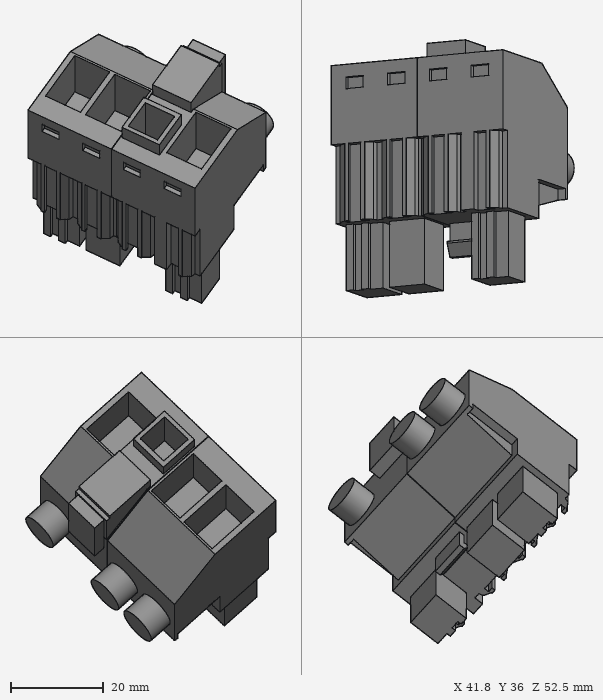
import cadquery as cq


poles_width = 40.65
pole_count = 4
pitch = poles_width / pole_count
pole_x = [(i - (pole_count - 1) / 2) * pitch for i in range(pole_count)]
latch_pole_x = pole_x[2]

width = 41.75
half_width = width / 2
housing_gap = 0.1
height = 34.35
back_y = 30.35
slope_start_y = 18.2
slope_end_z = 26.45
base_back_y = 16.8
belly_front_z = 2.6
belly_back_z = 6.45
belly_inset = 1.85
belly_inset_top_z = 8.6
back_plate_thickness = 1.0

well_front_y = 5.2
well_length = 12.55
well_depth = 13.1
well_ranges_left = [(-19.5, -10.75), (-9.5, -0.65)]
well_ranges_right = [(10.75, 19.5)]

window_width = 4.2
window_height = 2.55
window_bottom_z = 29.0
window_depth = 1.05

rail_height = 16.95
rail_depth = 2.15
rail_face_half = 2.4
rail_face_step = 0.2
rail_shoulder_half = 4.05
rail_shoulder_depth = 1.1
rail_root_half = 4.35
slot_half = 1.45
slot_lip = 0.85
slot_depth = 1.95
slot_undercut_half = 2.6
key_half = 4.5

leg_width = 8.45
leg_front_y = 4.3
leg_length_y = 9.75
last_leg_length_y = 8.6
leg_height = 14.45
leg_corner_width = 1.75
leg_groove_width = 1.95
leg_rib_width = 1.75
leg_relief_depth = 0.95
plain_leg_setback = 0.75

latch_width = 8.1
tongue_back_y = 14.65
tongue_thickness = 1.3
tongue_length = 7.4
barb_top_z = -4.1
barb_edge_height = 0.4
barb_reach = 1.3

tube_size = 9.35
tube_front_y = 3.85
tube_top_z = 38.05
tube_hole_size = 7.3
tube_hole_front_y = 4.8
tube_hole_depth = 13.1

latch_block_width = 9.6
latch_front_y = 17.15
latch_top_z = 37.85
latch_step_z = 36.7
latch_step_length = 1.0
tab_back_y = 33.2
tab_top_z = 36.1
tab_bottom_z = 20.7

plug_diameter = 8.55
plug_end_y = 36.0
plug_length = plug_end_y - back_y
plug_z = 14.3


def box(x_range, y_range, z_range):
    """Box between the given limits along each axis."""
    (x0, x1), (y0, y1), (z0, z1) = x_range, y_range, z_range
    return cq.Workplane("XY").box(x1 - x0, y1 - y0, z1 - z0, centered=False).translate((x0, y0, z0))


def side_profile(points, x_range):
    """Extrude an outline of (y, z) points along X."""
    x0, x1 = x_range
    return cq.Workplane("YZ").polyline(points).close().extrude(x1 - x0).translate((x0, 0, 0))


def centred(x, size):
    """Limits of a span of the given size centred on x."""
    return (x - size / 2, x + size / 2)


def rail(x):
    """Coding rail of one pole, with sloped flanks and a T-shaped slot."""
    right_side = [
        (slot_half, 0),
        (rail_face_half, 0),
        (rail_face_half, rail_face_step),
        (rail_shoulder_half, rail_shoulder_depth),
        (rail_root_half, rail_depth),
    ]
    left_side = [(-px, py) for px, py in reversed(right_side)]
    body = cq.Workplane("XY").polyline(right_side + left_side).close().extrude(rail_height)
    return body.translate((x, 0, 0))


def slot(x):
    """T-shaped slot of one rail."""
    neck = box(centred(x, 2 * slot_half), (0, slot_depth), (0, rail_height))
    undercut = box(centred(x, 2 * slot_undercut_half), (slot_lip, slot_depth), (0, rail_height))
    return neck.union(undercut)


def window(x):
    """Blind window in the front wall."""
    z_range = (window_bottom_z, window_bottom_z + window_height)
    return box(centred(x, window_width), (0, window_depth), z_range)


def plain_leg(x):
    """Plug leg with a flat front, set back from the ribbed legs."""
    y_range = (leg_front_y + plain_leg_setback, leg_front_y + leg_length_y)
    return box(centred(x, leg_width), y_range, (-leg_height, 0))


def ribbed_leg(x, length_y):
    """Plug leg with a corner strip and a rib standing out at the front."""
    left, right = centred(x, leg_width)
    z_range = (-leg_height, 0)
    relief_y = (leg_front_y, leg_front_y + leg_relief_depth)
    groove_left = left + leg_corner_width
    rib_left = groove_left + leg_groove_width
    body = box((left, right), (leg_front_y, leg_front_y + length_y), z_range)
    body = body.cut(box((groove_left, rib_left), relief_y, z_range))
    return body.cut(box((rib_left + leg_rib_width, right), relief_y, z_range))


def shell(x_range, inset_x_range, poles, well_ranges):
    """Housing block with its rails, slots, windows and wells."""
    outline = [
        (0, 0),
        (0, height),
        (slope_start_y, height),
        (back_y, slope_end_z),
        (back_y, belly_back_z),
        (base_back_y, belly_front_z),
        (base_back_y, 0),
    ]
    body = side_profile(outline, x_range)
    inset_y = (base_back_y, back_y - back_plate_thickness)
    body = body.cut(box(inset_x_range, inset_y, (0, belly_inset_top_z)))
    body = body.cut(box(x_range, (0, rail_depth), (0, rail_height)))
    for x in poles:
        body = body.union(rail(x)).cut(slot(x)).cut(window(x))
    for well_range in well_ranges:
        well_y = (well_front_y, well_front_y + well_length)
        body = body.cut(box(well_range, well_y, (height - well_depth, height)))
    return body


def left_housing():
    """Two-pole housing on the left."""
    inset = (-half_width, -half_width + belly_inset)
    body = shell((-half_width, -housing_gap / 2), inset, pole_x[:2], well_ranges_left)
    body = body.union(ribbed_leg(pole_x[0], leg_length_y))
    return body.union(plain_leg(pole_x[1]))


def snap_tongue():
    """Tongue below the latch pole, ending in a barb towards the front."""
    front_y = tongue_back_y - tongue_thickness
    barb_y = front_y - barb_reach
    outline = [
        (tongue_back_y, 0),
        (tongue_back_y, -tongue_length),
        (front_y, -tongue_length),
        (barb_y, barb_top_z - barb_edge_height),
        (barb_y, barb_top_z),
        (front_y, barb_top_z),
        (front_y, 0),
    ]
    return side_profile(outline, centred(latch_pole_x, latch_width))


def right_housing():
    """Two-pole housing on the right, with the square tube, the tongue and the coding key."""
    inset = (half_width - belly_inset, half_width)
    body = shell((housing_gap / 2, half_width), inset, pole_x[2:], well_ranges_right)
    last_x = pole_x[3]
    key = box((last_x - key_half, last_x - slot_half), (0, rail_depth), (0, rail_height))
    body = body.union(key)
    body = body.union(ribbed_leg(last_x, last_leg_length_y)).union(snap_tongue())
    tube_y = (tube_front_y, tube_front_y + tube_size)
    body = body.union(box(centred(latch_pole_x, tube_size), tube_y, (height, tube_top_z)))
    hole_y = (tube_hole_front_y, tube_hole_front_y + tube_hole_size)
    hole_z = (tube_top_z - tube_hole_depth, tube_top_z)
    return body.cut(box(centred(latch_pole_x, tube_hole_size), hole_y, hole_z))


def latch():
    """Latch block resting on the sloped top, with a tab hanging down behind the back wall."""
    outline = [
        (latch_front_y, height),
        (latch_front_y, latch_top_z),
        (back_y - latch_step_length, latch_top_z),
        (back_y - latch_step_length, latch_step_z),
        (back_y, latch_step_z),
        (back_y, slope_end_z),
        (slope_start_y, height),
    ]
    block = side_profile(outline, centred(latch_pole_x, latch_block_width))
    tab = box(centred(latch_pole_x, latch_width), (back_y, tab_back_y), (tab_bottom_z, tab_top_z))
    return block.union(tab)


def round_plug(x):
    """Round plug standing on the back wall."""
    disc = cq.Workplane("XZ").circle(plug_diameter / 2).extrude(-plug_length)
    return disc.translate((x, back_y, plug_z))


plug_poles = [pole_x[0], pole_x[1], pole_x[3]]
plugs = [round_plug(x) for x in plug_poles]

result = cq.Compound.makeCompound(
    [left_housing().val(), right_housing().val(), latch().val()] + [plug.val() for plug in plugs]
)